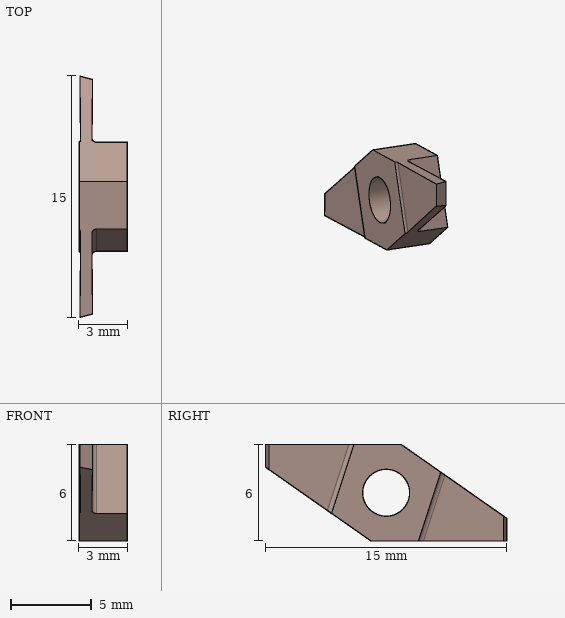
import cadquery as cq
import math

thickness = 3.0
length = 15.0
height = 6.0
tip_height = 1.41
flank_angle = 35.0
hole_diameter = 2.9

wall_lean = 18.0
wall_top_offset = 2.0
front_recess = 0.1
blade_thickness = 0.7
blade_flare = 0.6
root_radius = 0.3
tip_rake = 15.0

half_length = length / 2
half_height = height / 2
lean = math.radians(wall_lean)
flare = math.tan(math.radians(blade_flare))

wall_distance = wall_top_offset * math.cos(lean) + half_height * math.sin(lean)
tip_distance = half_length * math.cos(lean) + half_height * math.sin(lean)
front_root_run = math.sqrt(2 * root_radius * front_recess - front_recess**2)
front_floor_start = wall_distance + front_root_run
cut_reach = length
blade_back = front_recess + blade_thickness


def blank():
    """Six-sided outline extruded through the full thickness."""
    tip_z = half_height - tip_height
    flank_run = (half_height + tip_z) / math.tan(math.radians(flank_angle))
    corner_y = half_length - flank_run
    outline = [
        (-half_length, half_height),
        (-half_length, tip_z),
        (-corner_y, -half_height),
        (half_length, -half_height),
        (half_length, -tip_z),
        (corner_y, half_height),
    ]
    return cq.Workplane("YZ").polyline(outline).close().extrude(thickness)


def wall_plane():
    """Plane across the -Y wall: local x points away from the hole, local y along X."""
    return cq.Workplane(
        cq.Plane(
            origin=(0, 0, 0),
            xDir=(0, -math.cos(lean), math.sin(lean)),
            normal=(0, math.sin(lean), math.cos(lean)),
        )
    )


def front_relief():
    """Shallow recess in the seating face, with an arc rising to the wall edge."""
    arc_turn = math.acos(1 - front_recess / root_radius) / 2
    arc_mid = (
        front_floor_start - root_radius * math.sin(arc_turn),
        front_recess - root_radius * (1 - math.cos(arc_turn)),
    )
    floor_end = front_recess - (cut_reach - front_floor_start) * flare
    return (
        wall_plane()
        .moveTo(wall_distance, 0)
        .threePointArc(arc_mid, (front_floor_start, front_recess))
        .lineTo(cut_reach, floor_end)
        .lineTo(cut_reach, -thickness)
        .lineTo(wall_distance, -thickness)
        .close()
        .extrude(cut_reach, both=True)
    )


def back_relief():
    """Deep cut behind the blade, with a rounded root at the wall."""
    floor_start = wall_distance + root_radius
    arc_inset = root_radius * (1 - math.sqrt(0.5))
    return (
        wall_plane()
        .moveTo(wall_distance, 2 * thickness)
        .lineTo(wall_distance, blade_back + root_radius)
        .threePointArc(
            (wall_distance + arc_inset, blade_back + arc_inset),
            (floor_start, blade_back),
        )
        .lineTo(cut_reach, blade_back + (cut_reach - floor_start) * flare)
        .lineTo(cut_reach, 2 * thickness)
        .close()
        .extrude(cut_reach, both=True)
    )


def tip_rake_cut():
    """Wedge that slants the end face back from the front edge of the tip."""
    tip_front = front_recess - (tip_distance - front_floor_start) * flare
    rake_depth = (thickness - tip_front) * math.tan(math.radians(tip_rake))
    return (
        cq.Workplane("XY")
        .polyline([
            (tip_front, -half_length),
            (thickness, -half_length + rake_depth),
            (thickness, -half_length),
        ])
        .close()
        .extrude(height, both=True)
    )


result = blank()
for half_turn in (0, 180):
    for cutter in (front_relief(), back_relief(), tip_rake_cut()):
        result = result.cut(cutter.rotate((0, 0, 0), (1, 0, 0), half_turn))

hole = cq.Workplane("YZ").circle(hole_diameter / 2).extrude(thickness)
result = result.cut(hole)